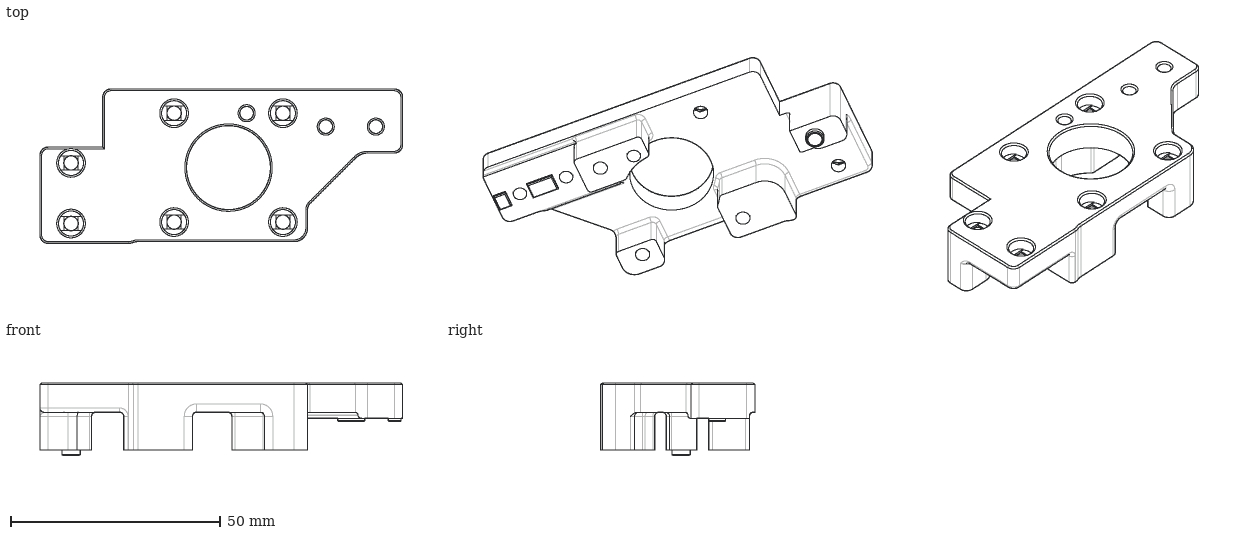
import cadquery as cq
import math

TOP_Z = 17.3
PLATE_Z = 10.3
PAD_Z = 8.8
KEY_Z = 8.1
FOOT_Z = 1.3

LENGTH = 86.7
WIDTH = 36.9
NOTCH_X = 15.0
NOTCH_Y = 23.05
JOG_START = 21.15
JOG_END = 23.5
JOG_DEPTH = 0.4
BODY_RIGHT = 64.0
TAB_FRONT = 21.6
TAB_FRONT_X = 76.6
DIAGONAL_Y = TAB_FRONT - (TAB_FRONT_X - BODY_RIGHT)

CORNER_R = 2.0
FRONT_RIGHT_R = 3.2
TAB_INSIDE_R = 4.1
EDGE_CHAMFER = 0.4
OUTSIDE = 4.3
NEAR = 0.2

MOTOR = (45.1, 18.1)
BOLT_OFFSET = 13.0
MOTOR_BORE = 20.0
HUB_CLEARANCE_R = 11.5
ARCH_HALF = 8.6
LEG_GAP_HALF = 7.7
LEFT_LEG_RIGHT = 12.4
LEFT_LEG_FRONT = 15.7
LEFT_BEND_START = 6.7
LEFT_BEND_END = 8.9
LEFT_BEND_R = 3.55
LEFT_TIP_R = 0.5
MIDDLE_LEG_LEFT = 20.0
MIDDLE_LEG_BACK = 13.0
MIDDLE_LEG_BACK_R = 5.3
RIGHT_LEG_BACK = 8.15
BACK_LEG_LEFT = 45.85
BACK_LEG_RIGHT = 63.3
BACK_WALL = 35.6
PAD_LEFT = 57.2
LEG_R = 0.95
ROOT_R = 0.95
PAD_ROOT_R = 0.7
PAD_EDGE_R = 0.7
LEFT_EDGE_R = 1.0
ARCH_EDGE_R = 2.0

LEFT_SCREW = (7.45, 19.2)
SCREWS = [LEFT_SCREW, (LEFT_SCREW[0], 4.8)]
SCREWS += [(MOTOR[0] + sx * BOLT_OFFSET, MOTOR[1] + sy * BOLT_OFFSET) for sx in (-1, 1) for sy in (-1, 1)]
SCREW_D = 3.4
HEAD_D = 6.0
HEAD_DEPTH = 3.0
BRIDGE_STEP = 0.3
TAB_HOLE_Y = 27.9
SMALL_HOLES = [(49.4, MOTOR[1] + BOLT_OFFSET), (68.3, TAB_HOLE_Y), (80.25, TAB_HOLE_Y)]
SMALL_D = 3.2
COLLAR_D = 4.4
SMALL_CHAMFER = 0.3

KEYS = [(71.15, 77.65), (83.2, 86.3)]
KEY_WIDTH = 4.0


def block(x0, x1, y0, y1, z0, z1):
    return cq.Workplane("XY").box(x1 - x0, y1 - y0, z1 - z0, centered=False).translate((x0, y0, z0))


def cylinder(center, diameter, z0, z1):
    return cq.Workplane("XY", origin=(*center, z0)).circle(diameter / 2).extrude(z1 - z0)


def round_corners(solid, corners, radius):
    """Round the vertical edges that stand at the given plan points."""
    for x, y in corners:
        column = cq.selectors.BoxSelector((x - NEAR, y - NEAR, -LENGTH), (x + NEAR, y + NEAR, LENGTH))
        solid = solid.edges("|Z").edges(column).fillet(radius)
    return solid


def outline_block():
    """Full-height block with the plan outline and a chamfered top edge."""
    jog_mid = ((JOG_START + JOG_END) / 2, JOG_DEPTH / 2)
    outline = (
        cq.Workplane("XY", origin=(0, 0, FOOT_Z))
        .lineTo(JOG_START, 0)
        .tangentArcPoint(jog_mid, relative=False)
        .tangentArcPoint((JOG_END, JOG_DEPTH), relative=False)
        .lineTo(BODY_RIGHT, JOG_DEPTH)
        .lineTo(BODY_RIGHT, DIAGONAL_Y)
        .lineTo(TAB_FRONT_X, TAB_FRONT)
        .lineTo(LENGTH, TAB_FRONT)
        .lineTo(LENGTH, WIDTH)
        .lineTo(NOTCH_X, WIDTH)
        .lineTo(NOTCH_X, NOTCH_Y)
        .lineTo(0, NOTCH_Y)
        .close()
    )
    body = outline.extrude(TOP_Z - FOOT_Z)
    left_corners = [(0, 0), (0, NOTCH_Y), (NOTCH_X, WIDTH)]
    right_corners = [(LENGTH, WIDTH), (LENGTH, TAB_FRONT), (BODY_RIGHT, DIAGONAL_Y)]
    body = round_corners(body, left_corners + right_corners, CORNER_R)
    body = round_corners(body, [(BODY_RIGHT, JOG_DEPTH)], FRONT_RIGHT_R)
    body = round_corners(body, [(TAB_FRONT_X, TAB_FRONT)], TAB_INSIDE_R)
    return body.faces(">Z").chamfer(EDGE_CHAMFER)


def hub_crossing(y):
    """Distance along X from the motor axis to the hub clearance circle at a given y."""
    return math.sqrt(HUB_CLEARANCE_R ** 2 - (y - MOTOR[1]) ** 2)


def hub_depth(x):
    """Distance along Y from the motor axis to the hub clearance circle at a given x."""
    return math.sqrt(HUB_CLEARANCE_R ** 2 - (x - MOTOR[0]) ** 2)


def legs(z0, z1):
    """Legs as upright prisms; some run out past the walls, where the outline trims them."""
    hub = cylinder(MOTOR, 2 * HUB_CLEARANCE_R, z0, z1)
    bend_rise = LEFT_BEND_R - math.sqrt(LEFT_BEND_R ** 2 - (LEFT_BEND_END - LEFT_BEND_START) ** 2)
    left_step = LEFT_LEG_FRONT + bend_rise
    left = (
        cq.Workplane("XY", origin=(0, 0, z0))
        .moveTo(0, LEFT_LEG_FRONT)
        .lineTo(LEFT_BEND_START, LEFT_LEG_FRONT)
        .tangentArcPoint((LEFT_BEND_END, left_step), relative=False)
        .lineTo(LEFT_LEG_RIGHT, left_step)
        .lineTo(LEFT_LEG_RIGHT, NOTCH_Y + OUTSIDE)
        .lineTo(0, NOTCH_Y + OUTSIDE)
        .close()
        .extrude(z1 - z0)
    )
    left = round_corners(left, [(LEFT_LEG_RIGHT, left_step)], LEFT_TIP_R)
    left = round_corners(left, [(0, LEFT_LEG_FRONT)], CORNER_R)

    middle_right = MOTOR[0] - ARCH_HALF
    middle = block(MIDDLE_LEG_LEFT, middle_right, -OUTSIDE, MIDDLE_LEG_BACK, z0, z1).cut(hub)
    middle = round_corners(middle, [(MIDDLE_LEG_LEFT, MIDDLE_LEG_BACK)], MIDDLE_LEG_BACK_R)
    middle_tips = [
        (MOTOR[0] - hub_crossing(MIDDLE_LEG_BACK), MIDDLE_LEG_BACK),
        (middle_right, MOTOR[1] - hub_depth(middle_right)),
    ]
    middle = round_corners(middle, middle_tips, LEG_R)

    right_left = MOTOR[0] + ARCH_HALF
    right = block(right_left, BODY_RIGHT, -OUTSIDE, RIGHT_LEG_BACK, z0, z1)
    right = round_corners(right, [(right_left, RIGHT_LEG_BACK), (BODY_RIGHT, RIGHT_LEG_BACK)], LEG_R)

    back_front = MOTOR[1] + LEG_GAP_HALF
    back = block(BACK_LEG_LEFT, BACK_LEG_RIGHT, back_front, BACK_WALL, z0, z1).cut(hub)
    back_tips = [
        (BACK_LEG_LEFT, MOTOR[1] + hub_depth(BACK_LEG_LEFT)),
        (MOTOR[0] + hub_crossing(back_front), back_front),
        (BACK_LEG_LEFT, BACK_WALL),
        (BACK_LEG_RIGHT, BACK_WALL),
        (BACK_LEG_RIGHT, back_front),
    ]
    back = round_corners(back, back_tips, LEG_R)
    return left, middle, right, back


def with_root(post, radius):
    """Hang a post under a slab that stands for the plate and fillet its root."""
    reach = 2 * OUTSIDE
    slab = block(-reach, LENGTH + reach, -reach, WIDTH + reach, PLATE_Z, PLATE_Z + OUTSIDE)
    root = cq.selectors.BoxSelector(
        (NEAR - reach, NEAR - reach, PLATE_Z - NEAR),
        (LENGTH + reach - NEAR, WIDTH + reach - NEAR, PLATE_Z + NEAR),
    )
    return slab.union(post).edges(root).fillet(radius)


def pad():
    """Thicker underside of the tab, rounded along its front and left edges."""
    plain = block(PAD_LEFT, LENGTH + OUTSIDE, TAB_FRONT - PAD_EDGE_R, BACK_WALL, PAD_Z, PLATE_Z)
    return plain.faces("<Z").edges("<X or <Y").fillet(PAD_EDGE_R)


def underside_waste():
    """Everything to be removed below the plate, between the legs and around the pad."""
    waste = block(-OUTSIDE, LENGTH + OUTSIDE, -OUTSIDE, WIDTH + OUTSIDE, FOOT_Z - OUTSIDE, PLATE_Z)
    for leg in legs(FOOT_Z - 2 * OUTSIDE, PLATE_Z):
        waste = waste.cut(with_root(leg, ROOT_R))
    return waste.cut(with_root(pad(), PAD_ROOT_R))


def locating_keys():
    """Short bars between the tab holes."""
    keys = cq.Workplane()
    for x0, x1 in KEYS:
        bar = block(x0, x1, TAB_HOLE_Y - KEY_WIDTH / 2, TAB_HOLE_Y + KEY_WIDTH / 2, KEY_Z, PAD_Z)
        keys = keys.add(bar.faces("<Z").chamfer(SMALL_CHAMFER))
    return keys.combine()


def mouth(center, diameter):
    """Cone that chamfers the top rim of a hole."""
    wide = diameter / 2 + EDGE_CHAMFER
    cone = cq.Solid.makeCone(diameter / 2, wide, EDGE_CHAMFER)
    return cq.Workplane(cone.translate(cq.Vector(*center, TOP_Z - EDGE_CHAMFER)))


def through_hole(center, diameter):
    return cylinder(center, diameter, -OUTSIDE, TOP_Z).union(mouth(center, diameter))


def screw_hole(center):
    """Counterbored hole; below the head seat two shallow steps, a slot and then a square."""
    x, y = center
    half = SCREW_D / 2
    seat = TOP_Z - HEAD_DEPTH
    slot_floor = seat - BRIDGE_STEP
    head = cylinder(center, HEAD_D, slot_floor, seat)
    slot = block(x - HEAD_D, x + HEAD_D, y - half, y + half, slot_floor, seat).intersect(head)
    square = block(x - half, x + half, y - half, y + half, slot_floor - BRIDGE_STEP, seat)
    hole = cylinder(center, SCREW_D, -OUTSIDE, TOP_Z).union(cylinder(center, HEAD_D, seat, TOP_Z))
    return hole.union(slot).union(square).union(mouth(center, HEAD_D))


def round_rims(body):
    """Round the outer rim of the front arch and of the left opening, legs included."""
    low_z = FOOT_Z + NEAR
    high_z = PLATE_Z + NEAR
    arch = cq.selectors.BoxSelector(
        (MOTOR[0] - ARCH_HALF - NEAR, JOG_DEPTH - NEAR, low_z),
        (MOTOR[0] + ARCH_HALF + NEAR, JOG_DEPTH + NEAR, high_z),
    )
    front = cq.selectors.BoxSelector((-NEAR, -NEAR, low_z), (MIDDLE_LEG_LEFT + NEAR, CORNER_R / 2, high_z))
    left = cq.selectors.BoxSelector((-NEAR, -NEAR, low_z), (NEAR, LEFT_LEG_FRONT - CORNER_R, high_z))
    body = body.edges(arch).fillet(ARCH_EDGE_R)
    return body.edges(front + left).fillet(LEFT_EDGE_R)


result = round_rims(outline_block().cut(underside_waste()))
result = result.union(locating_keys())
result = result.union(cylinder(LEFT_SCREW, COLLAR_D, 0, FOOT_Z).faces("<Z").chamfer(SMALL_CHAMFER))
result = result.cut(through_hole(MOTOR, MOTOR_BORE))
for screw in SCREWS:
    result = result.cut(screw_hole(screw))
for small_hole in SMALL_HOLES:
    result = result.cut(through_hole(small_hole, SMALL_D))